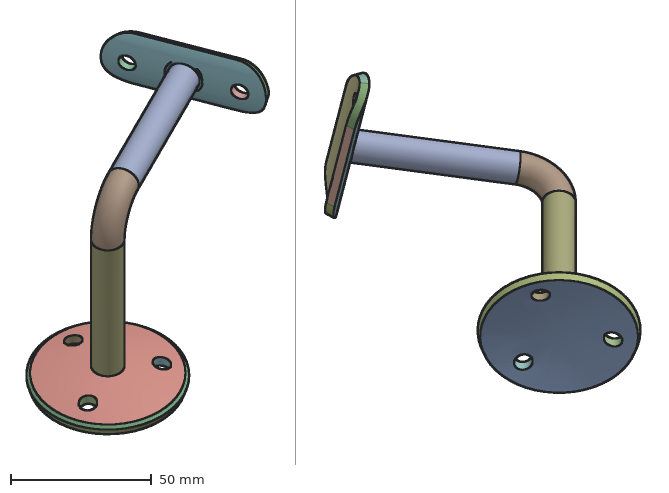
import cadquery as cq
import math

rod_radius = 6.0
bend_radius = 15.0
rod_length = 60.0

base_foot_radius = 28.1
base_rim_height = 3.1
base_shoulder_radius = 27.6
base_height = 8.0
dome_radius = 100.0
base_hole_count = 3
first_hole_angle = -90.0
base_hole_circle_radius = 19.5

saddle_length = 63.0
saddle_outer_radius = 24.0
saddle_thickness = 3.5
saddle_half_angle = 30.0
saddle_hole_offset = 21.5
seat_radius = 7.2
seat_depth = 0.6

screw_hole_diameter = 6.6

dome_centre_depth = math.sqrt(dome_radius**2 - rod_radius**2) - base_height
hollow_radius = math.hypot(base_foot_radius, dome_centre_depth)
base_rim_radius = base_foot_radius * (1 + base_rim_height / dome_centre_depth)
elbow_bottom = base_height + rod_length
rod_axis_height = elbow_bottom + bend_radius
seat_y = bend_radius + rod_length
saddle_front_y = seat_y - seat_depth
saddle_axis_y = saddle_front_y + saddle_outer_radius
saddle_corner_radius = saddle_outer_radius * math.sin(math.radians(saddle_half_angle))
saddle_inner_radius = saddle_outer_radius - saddle_thickness


def sphere_height(radius, distance):
    """Height of a sphere about the dome centre, at a distance from the base axis."""
    return math.sqrt(radius**2 - distance**2) - dome_centre_depth


def make_base():
    """Dished round base, hollow below, with a flat seat for the rod and a ring of screw holes."""
    dome_middle = (base_shoulder_radius + rod_radius) / 2
    base = (
        cq.Workplane("XZ")
        .moveTo(base_foot_radius, 0)
        .lineTo(base_rim_radius, base_rim_height)
        .lineTo(base_shoulder_radius, sphere_height(dome_radius, base_shoulder_radius))
        .threePointArc((dome_middle, sphere_height(dome_radius, dome_middle)), (rod_radius, base_height))
        .lineTo(0, base_height)
        .lineTo(0, sphere_height(hollow_radius, 0))
        .threePointArc(
            (base_foot_radius / 2, sphere_height(hollow_radius, base_foot_radius / 2)),
            (base_foot_radius, 0),
        )
        .close()
        .revolve(360, (0, 0, 0), (0, 1, 0))
    )
    holes = (
        cq.Workplane("XY")
        .polarArray(base_hole_circle_radius, first_hole_angle, 360, base_hole_count)
        .circle(screw_hole_diameter / 2)
        .extrude(base_height)
    )
    return base.cut(holes)


def make_lower_rod():
    """Upright rod standing on the base."""
    return cq.Workplane("XY").workplane(offset=base_height).circle(rod_radius).extrude(rod_length)


def make_elbow():
    """Quarter bend from upright to level."""
    return (
        cq.Workplane("XY")
        .workplane(offset=elbow_bottom)
        .circle(rod_radius)
        .revolve(90, (0, bend_radius, 0), (-1, bend_radius, 0))
    )


def make_upper_rod():
    """Level rod from the elbow to the saddle."""
    return (
        cq.Workplane("XZ", origin=(0, bend_radius, rod_axis_height))
        .circle(rod_radius)
        .extrude(-rod_length)
    )


def make_saddle_corner_waste(tilt, end):
    """Waste outside one rounded saddle corner, square to the plate's long edge at that corner.

    tilt is the signed angle of the long edge round the saddle axis, end the sign of the X end.
    """
    angle = math.radians(tilt)
    long_edge = cq.Plane(
        origin=(0, saddle_axis_y, rod_axis_height),
        xDir=(end, 0, 0),
        normal=(0, -math.cos(angle), math.sin(angle)),
    )
    inward = -end * math.copysign(1, tilt)
    tip = saddle_length / 2
    arc_start = tip - saddle_corner_radius
    arc_drop = inward * saddle_corner_radius
    arc_middle = saddle_corner_radius * math.sqrt(0.5)
    return (
        cq.Workplane(long_edge)
        .moveTo(arc_start, 0)
        .threePointArc((arc_start + arc_middle, arc_drop - inward * arc_middle), (tip, arc_drop))
        .lineTo(tip, 0)
        .close()
        .extrude(saddle_outer_radius + saddle_thickness)
    )


def arc_point(radius, degrees):
    """Point in the saddle's cross-section, at an angle up from its foremost line."""
    angle = math.radians(degrees)
    return (-radius * math.cos(angle), radius * math.sin(angle))


def make_saddle():
    """Curved handrail plate with rounded ends, screw holes and a flat seat for the rod."""
    saddle = (
        cq.Workplane("YZ", origin=(0, saddle_axis_y, rod_axis_height))
        .moveTo(*arc_point(saddle_outer_radius, -saddle_half_angle))
        .threePointArc((-saddle_outer_radius, 0), arc_point(saddle_outer_radius, saddle_half_angle))
        .lineTo(*arc_point(saddle_inner_radius, saddle_half_angle))
        .threePointArc((-saddle_inner_radius, 0), arc_point(saddle_inner_radius, -saddle_half_angle))
        .close()
        .extrude(saddle_length / 2, both=True)
    )
    for tilt in (-saddle_half_angle, saddle_half_angle):
        for end in (-1, 1):
            saddle = saddle.cut(make_saddle_corner_waste(tilt, end))
    front = cq.Workplane("XZ", origin=(0, saddle_front_y, rod_axis_height))
    holes = (
        front.pushPoints([(-saddle_hole_offset, 0), (saddle_hole_offset, 0)])
        .circle(screw_hole_diameter / 2)
        .extrude(-saddle_outer_radius)
    )
    seat = front.circle(seat_radius).extrude(-seat_depth)
    return saddle.cut(holes).cut(seat)


base = make_base()
lower_rod = make_lower_rod()
elbow = make_elbow()
upper_rod = make_upper_rod()
saddle = make_saddle()

result = cq.Compound.makeCompound(
    [base.val(), lower_rod.val(), elbow.val(), upper_rod.val(), saddle.val()]
)